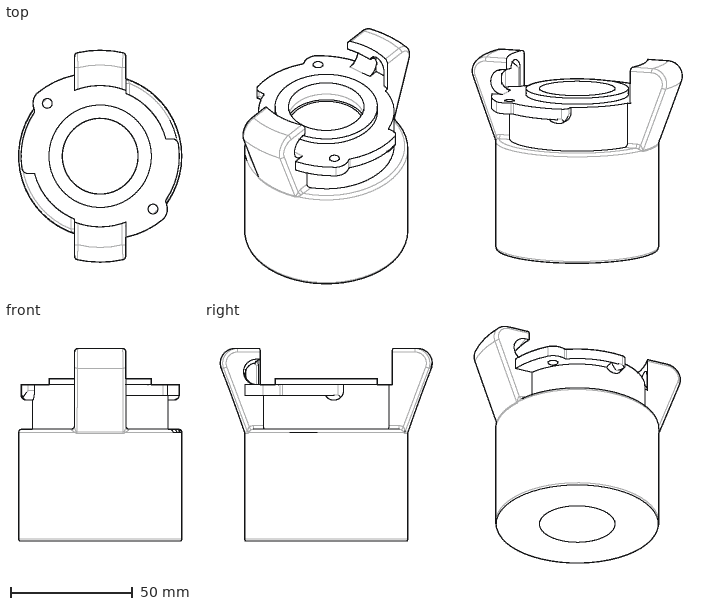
import cadquery as cq
import math

BODY_R = 33.5
SHOULDER_Z = 45.85
SHOULDER_FILLET = 1.3
BASE_CHAMFER_HEIGHT = 0.9
BASE_CHAMFER_WIDTH = 0.3
BORE_R = 15.5

NECK_R = 27.8
FLANGE_TOP_Z = 64.1
FLANGE_THICKNESS = 4.5
FLANGE_R = 32.45

LUG_END_OFFSET = 7.1
LUG_CORNER_R = 2.6
BUMP_R = 4.0
BUMP_RISE = 2.2
BUMP_EDGE_FILLET = 2.2

EAR_OFFSET = 21.7
EAR_R = 5.9
EAR_HOLE_R = 2.0
EAR_BLEND_R = 1.05
CAM_END_R = 33.8

CLAW_WIDTH = 21.05
CLAW_TOP_Z = 79.0
CLAW_INNER_R = 29.0
CLAW_OUTER_R = 43.5
CLAW_FOOT_Z = 44.4
CLAW_TIP_FILLET = 6.1
CLAW_EDGE_FILLET = 1.5
CLAW_ROOT_FILLET = 1.5

DETENT_X = 3.8
DETENT_R = 4.1
DETENT_ARCH_Z = 71.9
DETENT_OUTER_R = 33.05
DETENT_CORNER_R = 4.3

SCOOP_Y = 28.7
SCOOP_MOUTH_R = 5.2
SCOOP_END_R = 4.4

SEAL_DIAMETER = 42.0
SEAL_PROTRUSION = 2.5
SEAL_HEIGHT = 9.7
SEAL_LIP_DIAMETER = 33.0
SEAL_STRAIGHT_DEPTH = 5.9

SELECT_MARGIN = 0.1

flange_bottom_z = FLANGE_TOP_Z - FLANGE_THICKNESS
bump_axis_z = flange_bottom_z + BUMP_RISE
bump_bottom_z = bump_axis_z - BUMP_R
seal_top_z = FLANGE_TOP_Z + SEAL_PROTRUSION
seal_bottom_z = seal_top_z - SEAL_HEIGHT
seal_r = SEAL_DIAMETER / 2
seal_lip_r = SEAL_LIP_DIAMETER / 2
neck_middle_r = (NECK_R + seal_r) / 2


def polar(radius, angle):
    """XY point at a radius and an angle in degrees."""
    return (radius * math.cos(math.radians(angle)), radius * math.sin(math.radians(angle)))


def half_turn(part):
    """The same part turned half a revolution about the coupling axis."""
    return part.rotate((0, 0, 0), (0, 0, 1), 180)


def nearest(x, y):
    """Selector for the upright edge nearest to an XY point."""
    return cq.selectors.NearestToPointSelector((x, y, FLANGE_TOP_Z))


def disc(radius, bottom_z, top_z):
    return cq.Workplane("XY").workplane(offset=bottom_z).circle(radius).extrude(top_z - bottom_z)


def make_barrel():
    """Cylindrical body with a rounded shoulder and the neck above it."""
    base = disc(BODY_R, 0, SHOULDER_Z)
    base = base.faces(">Z").edges().fillet(SHOULDER_FILLET)
    base = base.faces("<Z").chamfer(BASE_CHAMFER_HEIGHT, BASE_CHAMFER_WIDTH)
    return base.union(disc(NECK_R, SHOULDER_Z, FLANGE_TOP_Z))


def make_lug_prism():
    """Lug, ear and cam edge on the -X side, extruded from the stop's underside to the flange top."""
    end_y = -LUG_END_OFFSET
    lug_inner = (-math.sqrt(NECK_R**2 - end_y**2), end_y)
    lug_corner = (-math.sqrt(FLANGE_R**2 - end_y**2), end_y)

    ear_angle = 135
    ear_distance = math.hypot(EAR_OFFSET, EAR_OFFSET)
    half_ear = math.acos((FLANGE_R**2 + ear_distance**2 - EAR_R**2) / (2 * FLANGE_R * ear_distance))
    ear_start = polar(FLANGE_R, ear_angle + math.degrees(half_ear))
    ear_mid = (-EAR_OFFSET - EAR_R, EAR_OFFSET)
    ear_reach = ear_distance + EAR_R

    cam_start = polar(ear_reach, ear_angle)
    cam_mid = polar((ear_reach + CAM_END_R) / 2, (ear_angle + 90) / 2)
    prism = (
        cq.Workplane("XY")
        .workplane(offset=bump_bottom_z)
        .moveTo(0, 0)
        .lineTo(*lug_inner)
        .lineTo(*lug_corner)
        .threePointArc((-FLANGE_R, 0), ear_start)
        .threePointArc(ear_mid, cam_start)
        .threePointArc(cam_mid, (0, CAM_END_R))
        .close()
        .extrude(FLANGE_TOP_Z - bump_bottom_z)
    )
    prism = prism.edges("|Z").edges(nearest(*lug_corner)).fillet(LUG_CORNER_R)
    return prism.edges("|Z").edges(nearest(*ear_start)).fillet(EAR_BLEND_R)


def make_lug():
    """Flange segment on the -X side, with the ear hole and the rounded stop under its end."""
    prism = make_lug_prism()
    bump_y = BUMP_R - LUG_END_OFFSET
    plate = prism.intersect(disc(2 * BODY_R, flange_bottom_z, FLANGE_TOP_Z))

    under_end = cq.Workplane("XY").box(
        2 * BODY_R, BODY_R, bump_axis_z, centered=(True, False, False)
    )
    plate = plate.cut(under_end.translate((0, bump_y - BODY_R, 0)))

    roll = cq.Workplane("YZ").center(bump_y, bump_axis_z).circle(BUMP_R).extrude(-BODY_R)
    rounded_rim = disc(FLANGE_R, bump_bottom_z, FLANGE_TOP_Z)
    rounded_rim = rounded_rim.faces("<Z").edges().fillet(BUMP_EDGE_FILLET)
    bump = prism.intersect(roll).intersect(rounded_rim)

    hole = disc(EAR_HOLE_R, flange_bottom_z, FLANGE_TOP_Z).translate((-EAR_OFFSET, EAR_OFFSET, 0))
    return plate.union(bump).cut(hole)


def make_claw():
    """Claw on the +Y side, hooked outward, without its recesses."""
    rise = CLAW_TOP_Z - CLAW_TIP_FILLET - CLAW_FOOT_Z
    run = CLAW_OUTER_R - CLAW_TIP_FILLET - BODY_R
    slope = math.atan2(run, rise) + math.asin(CLAW_TIP_FILLET / math.hypot(run, rise))
    corner_r = BODY_R + (CLAW_TOP_Z - CLAW_FOOT_Z) * math.tan(slope)
    ring = (
        cq.Workplane("XZ")
        .moveTo(neck_middle_r, CLAW_FOOT_Z)
        .lineTo(BODY_R, CLAW_FOOT_Z)
        .lineTo(corner_r, CLAW_TOP_Z)
        .lineTo(CLAW_INNER_R, CLAW_TOP_Z)
        .lineTo(CLAW_INNER_R, FLANGE_TOP_Z)
        .lineTo(neck_middle_r, FLANGE_TOP_Z)
        .close()
        .revolve(360, (0, 0, 0), (0, 1, 0))
    )
    tip = cq.selectors.RadiusNthSelector(-1)
    ring = ring.edges(tip).fillet(CLAW_TIP_FILLET)
    slab = cq.Workplane("XY").box(
        CLAW_WIDTH, 2 * CLAW_OUTER_R, CLAW_TOP_Z, centered=(True, False, False)
    )
    claw = ring.intersect(slab)
    beyond_inner = cq.selectors.BoxSelector(
        (-CLAW_WIDTH, CLAW_INNER_R, CLAW_FOOT_Z), (CLAW_WIDTH, 2 * CLAW_OUTER_R, 2 * CLAW_TOP_Z)
    )
    return claw.faces("<X or >X").edges(beyond_inner).fillet(CLAW_EDGE_FILLET)


def make_detent():
    """Arched pocket in the +Y claw that receives the stop of a mating lug."""
    arch = (
        cq.Workplane("XZ")
        .moveTo(DETENT_X - DETENT_R, FLANGE_TOP_Z)
        .lineTo(DETENT_X + DETENT_R, FLANGE_TOP_Z)
        .lineTo(DETENT_X + DETENT_R, DETENT_ARCH_Z)
        .threePointArc((DETENT_X, DETENT_ARCH_Z + DETENT_R), (DETENT_X - DETENT_R, DETENT_ARCH_Z))
        .close()
        .extrude(-CLAW_OUTER_R)
    )
    start_x = DETENT_X - DETENT_R
    end_x = DETENT_X + DETENT_R
    end_y = math.sqrt(DETENT_OUTER_R**2 - end_x**2)
    side = cq.Workplane("XY").box(
        end_x - start_x, 2 * BODY_R, CLAW_TOP_Z, centered=False
    ).translate((start_x, neck_middle_r, 0))
    reach = disc(DETENT_OUTER_R, FLANGE_TOP_Z, CLAW_TOP_Z).intersect(side)
    reach = reach.edges("|Z").edges(nearest(end_x, end_y)).fillet(DETENT_CORNER_R)
    return arch.intersect(reach)


def scoop_section(plane, radius):
    """Sideways U with its round end outward and its floor level with the flange top."""
    return (
        plane.moveTo(neck_middle_r, FLANGE_TOP_Z)
        .lineTo(SCOOP_Y, FLANGE_TOP_Z)
        .threePointArc((SCOOP_Y + radius, FLANGE_TOP_Z + radius), (SCOOP_Y, FLANGE_TOP_Z + 2 * radius))
        .lineTo(neck_middle_r, FLANGE_TOP_Z + 2 * radius)
        .close()
    )


def make_scoop():
    """Tapered round groove that runs from the -X side of the claw to the detent."""
    mouth = scoop_section(cq.Workplane("YZ").workplane(offset=-CLAW_WIDTH / 2), SCOOP_MOUTH_R)
    return scoop_section(mouth.workplane(offset=CLAW_WIDTH / 2), SCOOP_END_R).loft(ruled=True)


def make_housing():
    claw = make_claw()
    housing = make_barrel().union(claw).union(half_turn(claw))
    root = cq.selectors.BoxSelector(
        (-BODY_R, -BODY_R, SHOULDER_Z - SELECT_MARGIN), (BODY_R, BODY_R, SHOULDER_Z + SELECT_MARGIN)
    )
    housing = housing.edges("|Y").edges(root).fillet(CLAW_ROOT_FILLET)
    lug = make_lug()
    housing = housing.union(lug).union(half_turn(lug))
    recess = make_detent().union(make_scoop())
    housing = housing.cut(recess).cut(half_turn(recess))
    housing = housing.cut(disc(BORE_R, 0, FLANGE_TOP_Z))
    return housing.cut(disc(seal_r, seal_bottom_z, FLANGE_TOP_Z))


def make_seal():
    """Sealing ring whose bore flares at its lower end."""
    return (
        cq.Workplane("XZ")
        .moveTo(seal_lip_r, seal_bottom_z)
        .lineTo(seal_r, seal_bottom_z)
        .lineTo(seal_r, seal_top_z)
        .lineTo(BORE_R, seal_top_z)
        .lineTo(BORE_R, seal_top_z - SEAL_STRAIGHT_DEPTH)
        .close()
        .revolve(360, (0, 0, 0), (0, 1, 0))
    )


housing = make_housing()
seal = make_seal()
result = cq.Compound.makeCompound([*housing.solids().vals(), seal.val()])